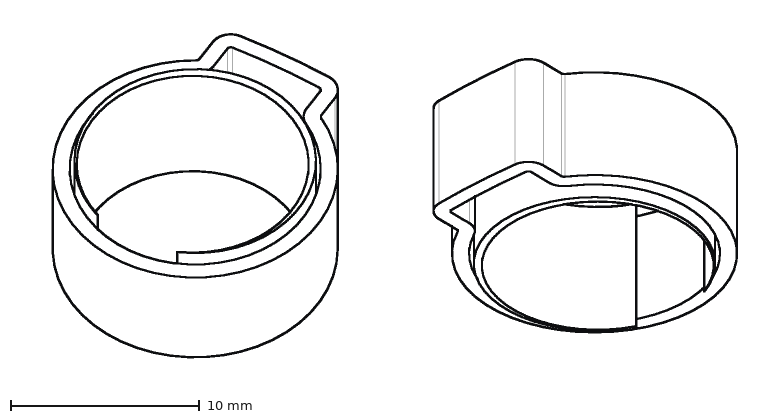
import cadquery as cq
import math

overall_length = 16.79
band_radius = 7.55
band_thickness = 0.9
band_width = 6.53
ear_half_width = 3.78
ear_top_y = overall_length - band_radius
ear_crown = 0.17
bend_inner_radius = 0.2
bend_outer_radius = bend_inner_radius + band_thickness

insert_radius = 6.4
insert_width = 7.8
insert_max_wall = 0.5
insert_gap = 4.92
bore_radius = insert_radius - insert_max_wall / 2
bore_center_y = bore_radius - insert_radius


def centered_prism(sketch, width):
    """Extrude a sketch on the XY plane equally to both sides."""
    return sketch.extrude(width / 2, both=True)


def edges_near(y):
    """Select the pair of upright ear edges whose Y is close to the given value."""
    reach = 0.02
    return cq.selectors.BoxSelector(
        (-ear_half_width - reach, y - reach, -band_width),
        (ear_half_width + reach, y + reach, band_width),
    )


def make_band():
    """Strip of constant thickness, bent round and raised into an ear."""
    ear_root_y = math.sqrt(band_radius**2 - ear_half_width**2)
    ear_corner_y = ear_top_y - ear_crown

    outline = (
        cq.Workplane("XY")
        .moveTo(-ear_half_width, ear_root_y)
        .lineTo(-ear_half_width, ear_corner_y)
        .threePointArc((0, ear_top_y), (ear_half_width, ear_corner_y))
        .lineTo(ear_half_width, ear_root_y)
        .threePointArc((0, -band_radius), (-ear_half_width, ear_root_y))
        .close()
    )
    blank = centered_prism(outline, band_width)
    blank = blank.edges(edges_near(ear_corner_y)).fillet(bend_outer_radius)
    blank = blank.edges(edges_near(ear_root_y)).fillet(bend_inner_radius)

    opening = (
        blank.faces(">Z").wires().toPending()
        .offset2D(-band_thickness, "arc")
        .extrude(-band_width, combine=False)
    )
    return blank.cut(opening)


def make_insert():
    """Sleeve with an off-centre bore, open at -Y."""
    sleeve = centered_prism(cq.Workplane("XY").circle(insert_radius), insert_width)
    bore = centered_prism(cq.Workplane("XY").center(0, bore_center_y).circle(bore_radius), insert_width)
    gap = centered_prism(
        cq.Workplane("XY").center(0, -insert_radius).rect(insert_gap, insert_radius),
        insert_width,
    )
    return sleeve.cut(gap).cut(bore)


band = make_band()
insert = make_insert()

result = cq.Compound.makeCompound([band.solids().val(), insert.solids().val()])